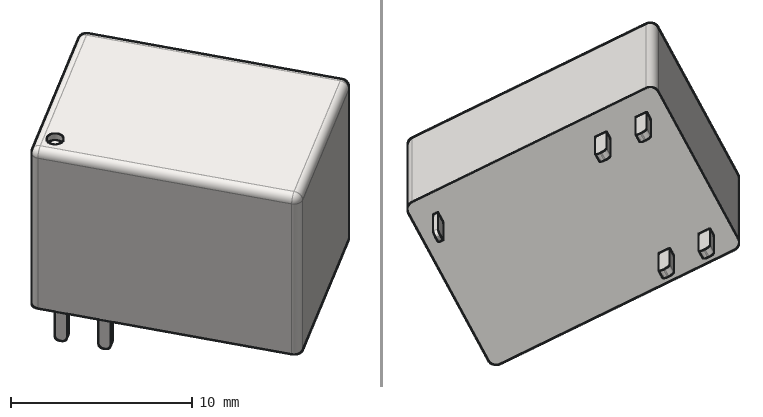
import cadquery as cq

length = 15.5
width = 10.62
total_height = 14.7
pin_length = 3.2
body_height = total_height - pin_length
edge_radius = 0.5

marker_radius = 0.46
marker_depth = 0.5
marker_x = 1.13 - length / 2
marker_y = 1.27 - width / 2

pin_width = 0.7
pin_tip_radius = 0.31
pin_thickness = 0.5
row_spacing = 7.63
row_y = row_spacing / 2
first_pin_x = 1.45 - length / 2
pin_pitch = 2.5

thin_pin_thickness = 0.3
thin_pin_distance = 12.71
thin_pin_inset = 0.03
thin_pin_x = first_pin_x + thin_pin_distance
thin_pin_y = row_y - thin_pin_inset


def make_housing():
    """Block with rounded upright edges and top edges, and a flat underside."""
    block = cq.Workplane("XY").box(length, width, body_height, centered=(True, True, False))
    return block.edges("|Z or >Z").fillet(edge_radius)


def make_marker():
    """Cylinder that cuts the marker recess down from the top face."""
    top = cq.Workplane("XY").workplane(offset=body_height).center(marker_x, marker_y)
    return top.circle(marker_radius).extrude(-marker_depth)


def make_pin(x, y, thickness, turn=0):
    """Pin hanging below the housing; its wide side lies along X before the turn about Z."""
    blade = (
        cq.Workplane("XY")
        .box(pin_width, thickness, pin_length, centered=(True, True, False))
        .edges("|Y and <Z")
        .fillet(pin_tip_radius)
    )
    return blade.rotate((0, 0, 0), (0, 0, 1), turn).translate((x, y, -pin_length))


result = make_housing().cut(make_marker())

for pin_x in (first_pin_x, first_pin_x + pin_pitch):
    for pin_y in (-row_y, row_y):
        result = result.union(make_pin(pin_x, pin_y, pin_thickness))

result = result.union(make_pin(thin_pin_x, thin_pin_y, thin_pin_thickness, turn=90))